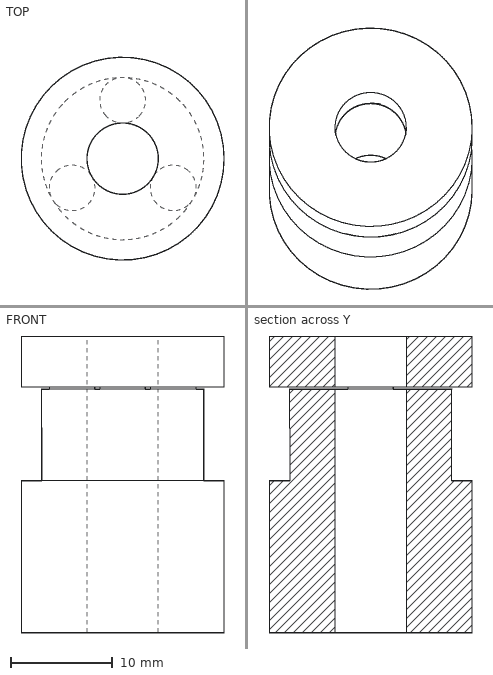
import cadquery as cq

total_height = 29.2
body_diameter = 20.0
neck_diameter = 16.0
bore_diameter = 7.0
body_height = 15.0
neck_height = 9.0
pin_gap = 0.2
pin_diameter = 4.5
pin_count = 3
first_pin_angle = 90.0

neck_top = body_height + neck_height
cap_bottom = neck_top + pin_gap
cap_height = total_height - cap_bottom
pin_circle_radius = (bore_diameter + neck_diameter) / 4


def bored_cylinder(diameter, bottom, height):
    """Upright cylinder on the Z axis with the central bore through it."""
    return (
        cq.Workplane("XY", origin=(0, 0, bottom))
        .circle(diameter / 2)
        .circle(bore_diameter / 2)
        .extrude(height)
    )


body = bored_cylinder(body_diameter, 0, body_height)
neck = bored_cylinder(neck_diameter, body_height, neck_height)
cap = bored_cylinder(body_diameter, cap_bottom, cap_height)

pins = (
    cq.Workplane("XY", origin=(0, 0, neck_top))
    .polarArray(pin_circle_radius, first_pin_angle, 360, pin_count)
    .circle(pin_diameter / 2)
    .extrude(pin_gap)
)

result = body.union(neck).union(pins).union(cap)